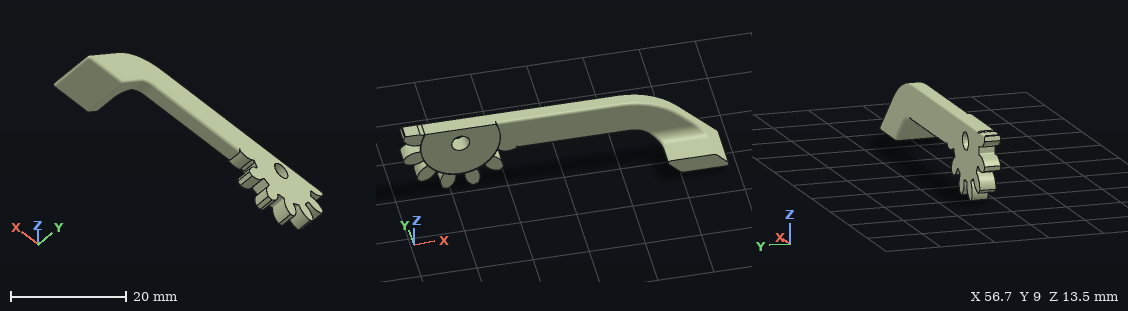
import cadquery as cq
import math

plate_thickness = 3.0
half_height = 3.25
rim_radius = 0.5
bend_angle = 45
top_bend_radius = 15.0
bottom_bend_radius = 5.0

finger_reach = 9.0
finger_top_z = -5.95
finger_bottom_z = -9.1
finger_root_radius = 2.0
tip_radius = 0.5
tip_x = 46.5

tooth_count = 12
tooth_pitch_angle = 360 / tooth_count
sector_teeth = 7
first_tooth_angle = 165
root_radius = 7.15
bulge_radius = 8.75
outer_radius = 10.45
root_half_width = 1.0
bulge_half_width = 1.3
tip_half_width = 0.45
root_fillet = 0.3

hub_radius = 7.1
hub_thickness = 3.2
bore_diameter = 3.2

sharp_tip_x = tip_x + tip_radius / math.tan(math.radians(bend_angle / 2)) - tip_radius
slope = math.tan(math.radians(bend_angle))
top_bend_x = sharp_tip_x - (half_height - finger_bottom_z) / slope
bend_offset = 2 * half_height * math.tan(math.radians(bend_angle / 2))
bottom_bend_x = top_bend_x - bend_offset
finger_heel_x = bottom_bend_x + (-half_height - finger_bottom_z) / slope


def round_edge_at(body, radius, x, z):
    """Round the Y-parallel edge closest to (x, z)."""
    nearest = cq.selectors.NearestToPointSelector((x, -finger_reach / 2, z))
    return body.edges("|Y").edges(nearest).fillet(radius)


def make_arm():
    outline = (
        cq.Workplane("XZ")
        .moveTo(0, half_height)
        .lineTo(top_bend_x, half_height)
        .lineTo(sharp_tip_x, finger_bottom_z)
        .lineTo(finger_heel_x, finger_bottom_z)
        .lineTo(bottom_bend_x, -half_height)
        .lineTo(0, -half_height)
        .close()
    )
    arm = outline.extrude(finger_reach)
    arm = round_edge_at(arm, top_bend_radius, top_bend_x, half_height)
    arm = round_edge_at(arm, bottom_bend_radius, bottom_bend_x, -half_height)
    arm = round_edge_at(arm, tip_radius, sharp_tip_x, finger_bottom_z)
    arm = round_edge_at(arm, tip_radius, finger_heel_x, finger_bottom_z)

    clearance = (
        cq.Workplane("YZ")
        .moveTo(-plate_thickness, half_height)
        .lineTo(-plate_thickness, finger_top_z + finger_root_radius)
        .radiusArc((-plate_thickness - finger_root_radius, finger_top_z), finger_root_radius)
        .lineTo(-finger_reach, finger_top_z)
        .lineTo(-finger_reach, half_height)
        .close()
        .extrude(sharp_tip_x)
    )
    arm = arm.cut(clearance)

    for y, z in (
        (-plate_thickness, half_height),
        (-plate_thickness, -half_height),
        (0, half_height),
    ):
        rim = cq.selectors.NearestToPointSelector((bottom_bend_x / 2, y, z))
        arm = arm.edges(rim).fillet(rim_radius)
    return arm


def make_tooth(angle):
    """One tooth, bulging at mid height and narrowing toward the root and the tip."""
    flank_start = math.sqrt(root_radius**2 - root_half_width**2)
    tooth = (
        cq.Workplane("XZ")
        .moveTo(0, root_half_width)
        .lineTo(flank_start, root_half_width)
        .threePointArc((bulge_radius, bulge_half_width), (outer_radius, tip_half_width))
        .lineTo(outer_radius, -tip_half_width)
        .threePointArc((bulge_radius, -bulge_half_width), (flank_start, -root_half_width))
        .lineTo(0, -root_half_width)
        .close()
        .extrude(plate_thickness)
    )
    return tooth.rotate((0, 0, 0), (0, -1, 0), angle)


def make_gear():
    gear = cq.Workplane("XZ").circle(root_radius).extrude(plate_thickness)
    for index in range(sector_teeth):
        angle = first_tooth_angle + index * tooth_pitch_angle
        gear = gear.union(make_tooth(angle))
    reach = root_radius + root_fillet
    root_zone = cq.selectors.BoxSelector((-reach, -plate_thickness, -reach), (reach, 0, reach))
    return gear.edges("|Y").edges(root_zone).fillet(root_fillet)


def make_top_trim():
    """Everything above the flat top of the gear, including its rounded back edge."""
    return (
        cq.Workplane("YZ", origin=(-outer_radius, 0, 0))
        .moveTo(-hub_thickness, half_height)
        .lineTo(-rim_radius, half_height)
        .radiusArc((0, half_height - rim_radius), rim_radius)
        .lineTo(0, outer_radius)
        .lineTo(-hub_thickness, outer_radius)
        .close()
        .extrude(2 * outer_radius)
    )


hub = cq.Workplane("XZ").circle(hub_radius).extrude(hub_thickness)
bore = cq.Workplane("XZ").circle(bore_diameter / 2).extrude(hub_thickness)
result = make_arm().union(make_gear()).union(hub).cut(make_top_trim()).cut(bore)